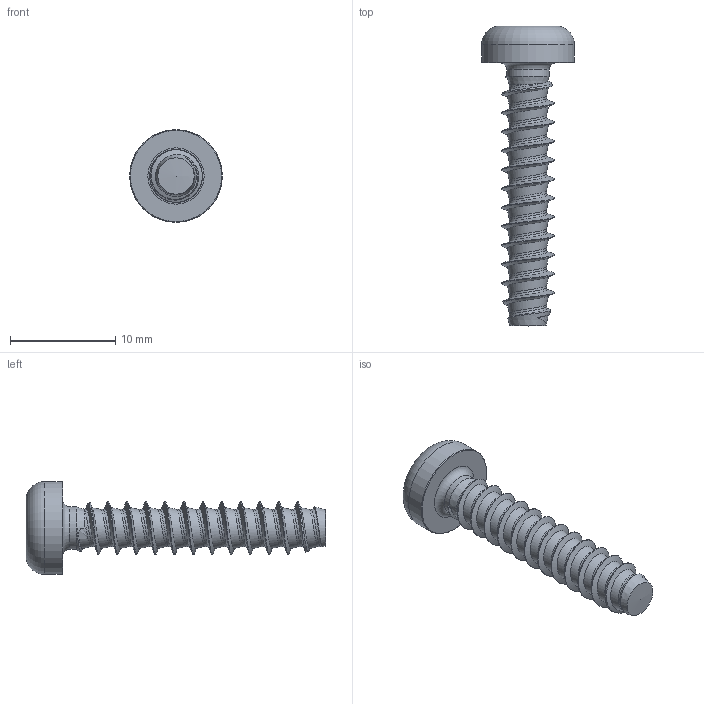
import cadquery as cq
import math


HEAD_RADIUS = 4.4
HEAD_HEIGHT = 3.5
HEAD_ROUND = 1.75
HEAD_EDGE_CHAMFER = 0.06

NECK_RADIUS = 2.0
NECK_FILLET = 0.67
NECK_LENGTH = 1.28
NECK_TAPER_LENGTH = 0.8

SHANK_LENGTH = 24.94
CORE_RADIUS = 1.765
TIP_CROWN = 0.05

PITCH = 1.8
THREAD_RADIUS = 2.5
CREST_WIDTH = 0.06
FLANK_ANGLE = 20.0
UPPER_ROOT_RADIUS = 1.81
LOWER_ROOT_RADIUS = 1.95
UPPER_RAMP_WIDTH = 0.33
LOWER_RAMP_WIDTH = 0.94
RAMP_OVERLAP = 0.02
PROFILE_DEPTH = 0.3
FIRST_CREST_DEPTH = 1.14
THREAD_TURNS = 14.5

START_CREST_RADIUS = 2.15
START_TAPER_LENGTH = 1.8
END_CREST_RADIUS = 1.72
END_TAPER_LENGTH = 2.55


def revolve_about_axis(outline):
    """Full turn of a half outline in the XZ plane about the screw axis."""
    return outline.revolve(360, (0, 0, 0), (0, 1, 0))


def make_head():
    """Round-topped disc with a broken edge around the bearing face."""
    head = cq.Workplane("XY").circle(HEAD_RADIUS).extrude(HEAD_HEIGHT)
    head = head.faces(">Z").edges().fillet(HEAD_ROUND)
    return head.faces("<Z").edges().chamfer(HEAD_EDGE_CHAMFER)


def make_neck():
    """Neck that flares into the head and tapers down to the thread core."""
    overlap = HEAD_HEIGHT / 4
    fillet_sag = NECK_FILLET * (1 - math.sqrt(0.5))
    taper_end = -NECK_LENGTH - NECK_TAPER_LENGTH
    outline = (
        cq.Workplane("XZ")
        .moveTo(0, overlap)
        .lineTo(NECK_RADIUS + NECK_FILLET, overlap)
        .lineTo(NECK_RADIUS + NECK_FILLET, 0)
        .threePointArc(
            (NECK_RADIUS + fillet_sag, -fillet_sag),
            (NECK_RADIUS, -NECK_FILLET),
        )
        .lineTo(NECK_RADIUS, -NECK_LENGTH)
        .lineTo(CORE_RADIUS, taper_end)
        .lineTo(0, taper_end)
        .close()
    )
    return revolve_about_axis(outline)


def make_full_thread():
    """Thread ridge and its sloping root, swept at full height along the helix."""
    start_z = -FIRST_CREST_DEPTH - THREAD_TURNS * PITCH
    half_crest = CREST_WIDTH / 2
    flank_slope = math.tan(math.radians(FLANK_ANGLE))
    upper_foot = half_crest + (THREAD_RADIUS - UPPER_ROOT_RADIUS) * flank_slope
    lower_foot = half_crest + (THREAD_RADIUS - LOWER_ROOT_RADIUS) * flank_slope
    upper_toe = upper_foot + UPPER_RAMP_WIDTH
    lower_toe = lower_foot + LOWER_RAMP_WIDTH
    toe_radius = CORE_RADIUS - RAMP_OVERLAP
    inner_radius = CORE_RADIUS - PROFILE_DEPTH
    profile = [
        (inner_radius, upper_toe),
        (toe_radius, upper_toe),
        (UPPER_ROOT_RADIUS, upper_foot),
        (THREAD_RADIUS, half_crest),
        (THREAD_RADIUS, -half_crest),
        (LOWER_ROOT_RADIUS, -lower_foot),
        (toe_radius, -lower_toe),
        (inner_radius, -lower_toe),
    ]
    helix = cq.Wire.makeHelix(PITCH, THREAD_TURNS * PITCH, CORE_RADIUS)
    thread = cq.Workplane("XZ").polyline(profile).close().sweep(helix, isFrenet=True)
    return thread.translate((0, 0, start_z))


def make_start_envelope():
    """Cone that opens towards the tip, so the crest grows from the neck on."""
    slope = (THREAD_RADIUS - START_CREST_RADIUS) / START_TAPER_LENGTH
    end_z = -SHANK_LENGTH - PITCH
    end_radius = START_CREST_RADIUS + slope * (-NECK_LENGTH - end_z)
    outline = cq.Workplane("XZ").polyline([
        (0, -NECK_LENGTH),
        (START_CREST_RADIUS, -NECK_LENGTH),
        (end_radius, end_z),
        (0, end_z),
    ]).close()
    return revolve_about_axis(outline)


def make_end_envelope():
    """Cone that closes towards the tip, ending in the shallow crown of the tip."""
    slope = (THREAD_RADIUS - END_CREST_RADIUS) / END_TAPER_LENGTH
    crown_radius = (END_CREST_RADIUS**2 + TIP_CROWN**2) / (2 * TIP_CROWN)
    outline = (
        cq.Workplane("XZ")
        .lineTo(END_CREST_RADIUS + slope * SHANK_LENGTH, 0)
        .lineTo(END_CREST_RADIUS, -SHANK_LENGTH)
        .radiusArc((0, -SHANK_LENGTH - TIP_CROWN), crown_radius)
        .close()
    )
    return revolve_about_axis(outline)


def make_threaded_shank():
    """Thread on a plain core, run out by a cone at either end."""
    core = cq.Workplane("XY").circle(CORE_RADIUS).extrude(-SHANK_LENGTH - 2 * PITCH)
    rod = core.union(make_full_thread(), clean=False)
    return rod.intersect(make_start_envelope().intersect(make_end_envelope()))


screw = make_head().union(make_neck()).union(make_threaded_shank())
result = screw.rotate((0, 0, 0), (1, 0, 0), -90)